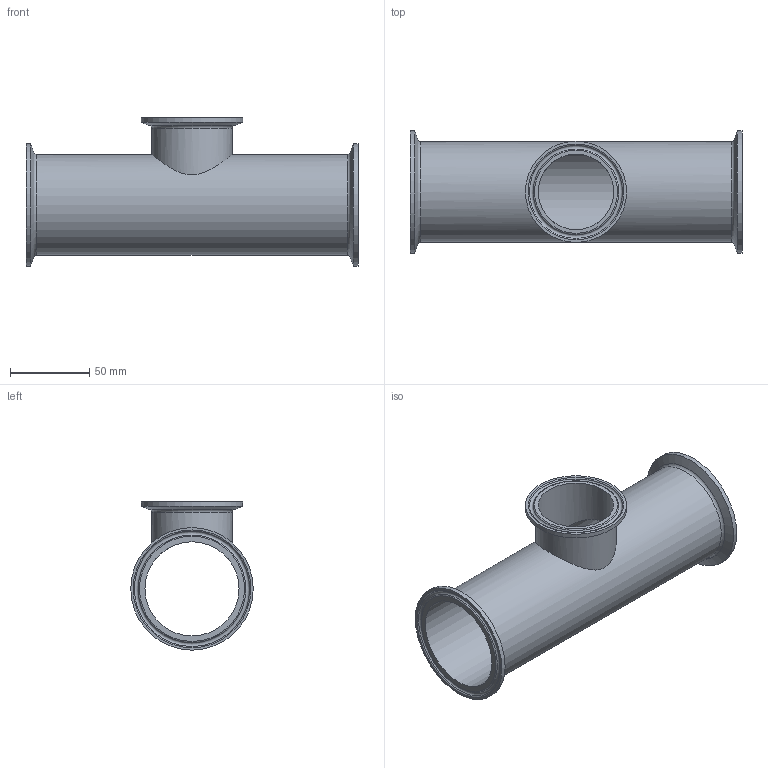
import cadquery as cq
import math

RUN_LENGTH = 210.0
RUN_OUTER_RADIUS = 63.5 / 2
RUN_BORE_RADIUS = 59.5 / 2
RUN_FLANGE_RADIUS = 77.5 / 2
RUN_GROOVE_RADIUS = 70.5 / 2

BRANCH_HEIGHT = 55.0
BRANCH_OUTER_RADIUS = 50.8 / 2
BRANCH_BORE_RADIUS = 47.8 / 2
BRANCH_FLANGE_RADIUS = 64.0 / 2
BRANCH_GROOVE_RADIUS = 56.5 / 2

RIM_THICKNESS = 2.85
FLANGE_BACK_ANGLE = math.radians(20)
NECK_FILLET = 2.0

GROOVE_DEPTH = 1.6
GROOVE_BOTTOM_FILLET = 1.25
GROOVE_LIP_FILLET = 0.8


def point_on_circle(center, radius, angle):
    return (center[0] + radius * math.cos(angle), center[1] + radius * math.sin(angle))


def revolve_about_z(profile):
    return profile.revolve(360, (0, 0, 0), (0, 1, 0))


def flange_ended_bar(length, tube_radius, flange_radius):
    """Solid bar rising from the XY plane, with a conical-backed flange at its top."""
    rim_bottom = length - RIM_THICKNESS
    neck_corner = rim_bottom - (flange_radius - tube_radius) * math.tan(FLANGE_BACK_ANGLE)

    neck_sweep = math.pi / 2 - FLANGE_BACK_ANGLE
    arc_bottom = neck_corner - NECK_FILLET * math.tan(neck_sweep / 2)
    arc_center = (tube_radius + NECK_FILLET, arc_bottom)
    arc_middle = point_on_circle(arc_center, NECK_FILLET, math.pi - neck_sweep / 2)
    arc_end = point_on_circle(arc_center, NECK_FILLET, math.pi - neck_sweep)

    profile = (
        cq.Workplane("XZ")
        .lineTo(tube_radius, 0)
        .lineTo(tube_radius, arc_bottom)
        .threePointArc(arc_middle, arc_end)
        .lineTo(flange_radius, rim_bottom)
        .lineTo(flange_radius, length)
        .lineTo(0, length)
        .close()
    )
    return revolve_about_z(profile)


def gasket_groove(face_height, groove_radius):
    """Ring to remove from a flange face lying at the given height."""
    blend_radius = GROOVE_BOTTOM_FILLET + GROOVE_LIP_FILLET
    turn = math.acos(1 - GROOVE_DEPTH / blend_radius)
    half_mouth = blend_radius * math.sin(turn)

    down = -math.pi / 2
    up = math.pi / 2
    bottom_center = (groove_radius, face_height - GROOVE_DEPTH + GROOVE_BOTTOM_FILLET)
    inner_center = (groove_radius - half_mouth, face_height - GROOVE_LIP_FILLET)
    outer_center = (groove_radius + half_mouth, face_height - GROOVE_LIP_FILLET)
    profile = (
        cq.Workplane("XZ")
        .moveTo(*point_on_circle(inner_center, GROOVE_LIP_FILLET, up))
        .threePointArc(
            point_on_circle(inner_center, GROOVE_LIP_FILLET, up - turn / 2),
            point_on_circle(inner_center, GROOVE_LIP_FILLET, up - turn),
        )
        .threePointArc(
            point_on_circle(bottom_center, GROOVE_BOTTOM_FILLET, down),
            point_on_circle(bottom_center, GROOVE_BOTTOM_FILLET, down + turn),
        )
        .threePointArc(
            point_on_circle(outer_center, GROOVE_LIP_FILLET, up + turn / 2),
            point_on_circle(outer_center, GROOVE_LIP_FILLET, up),
        )
        .close()
    )
    return revolve_about_z(profile)


def make_branch():
    bar = flange_ended_bar(BRANCH_HEIGHT, BRANCH_OUTER_RADIUS, BRANCH_FLANGE_RADIUS)
    return bar.cut(gasket_groove(BRANCH_HEIGHT, BRANCH_GROOVE_RADIUS))


def make_run_half():
    half_length = RUN_LENGTH / 2
    bar = flange_ended_bar(half_length, RUN_OUTER_RADIUS, RUN_FLANGE_RADIUS)
    return bar.cut(gasket_groove(half_length, RUN_GROOVE_RADIUS))


def make_tee():
    tee = make_branch()
    run_half = make_run_half()
    for turn_degrees in (-90, 90):
        tee = tee.union(run_half.rotate((0, 0, 0), (0, 1, 0), turn_degrees))

    run_bore = cq.Workplane("YZ").circle(RUN_BORE_RADIUS).extrude(RUN_LENGTH / 2, both=True)
    branch_bore = cq.Workplane("XY").circle(BRANCH_BORE_RADIUS).extrude(BRANCH_HEIGHT)
    return tee.cut(run_bore).cut(branch_bore).clean()


result = make_tee()